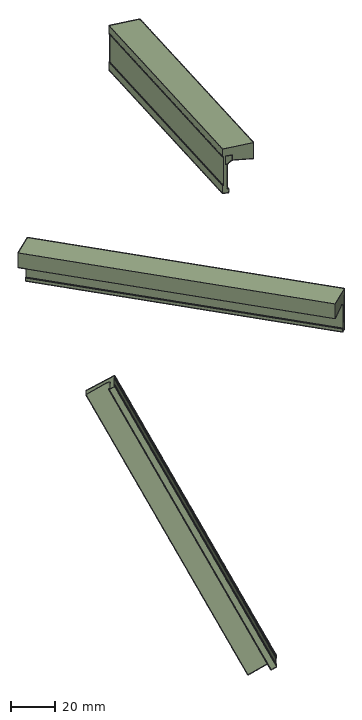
import cadquery as cq

total_length = 150.0
depth = 15.0
height = 23.0

head_back_height = 8.0
top_drop = 1.0
underside_rise = 1.0
head_front_height = 4.0
underside_fillet = 2.5

front_recess = 0.4
web_thickness = 1.9

foot_height = 4.0
lip_projection = 0.8
lip_height = 1.9
lip_chamfer = 0.3

pad_thickness = 0.3
pad_front = 1.3
pad_width = 3.3
pad_bottom = 14.3
pad_height = 4.1

body_length = total_length - pad_thickness
web_back = front_recess + web_thickness
lip_back = web_back + lip_projection
head_front_top = height - top_drop
head_front_bottom = head_front_top - head_front_height
head_back_bottom = height - head_back_height
underside_at_web = head_back_bottom + underside_rise


def make_bar(length):
    """Extrude the handle section along X and round the head-to-web corner."""
    section = [
        (0, 0),
        (0, foot_height),
        (front_recess, foot_height),
        (front_recess, head_front_bottom),
        (0, head_front_bottom),
        (0, head_front_top),
        (depth, height),
        (depth, head_back_bottom),
        (web_back, underside_at_web),
        (web_back, lip_height),
        (lip_back, lip_height),
        (lip_back, lip_chamfer),
        (lip_back - lip_chamfer, 0),
    ]
    bar = cq.Workplane("YZ").polyline(section).close().extrude(length)
    corner = cq.selectors.NearestToPointSelector((length / 2, web_back, underside_at_web))
    return bar.edges(corner).fillet(underside_fillet)


def make_end_pad():
    """Raised pad on the +X end, trimmed so that it stays within the section."""
    block = cq.Workplane("XY").box(pad_thickness, pad_width, pad_height, centered=False)
    block = block.translate((body_length, pad_front, pad_bottom))
    return block.intersect(make_bar(total_length))


result = make_bar(body_length).union(make_end_pad())